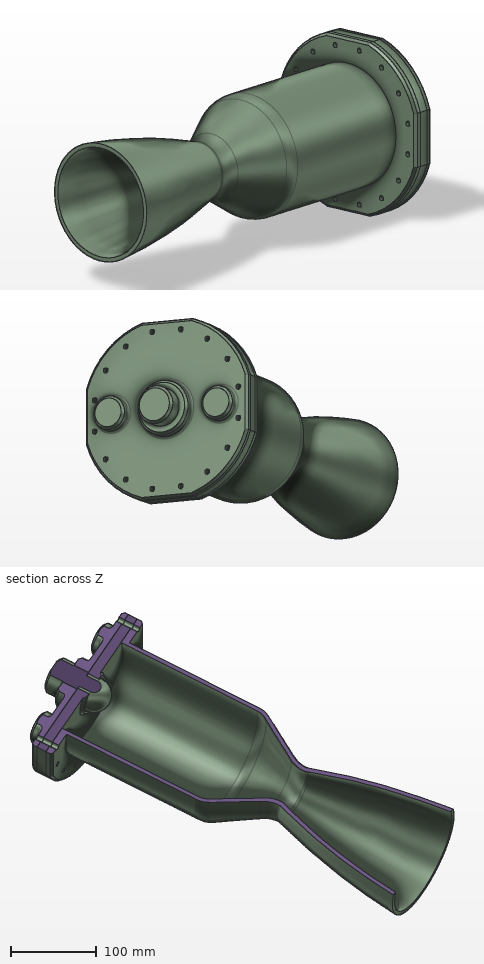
import cadquery as cq
import math

TOTAL_LENGTH = 499.0

PLATE_FLATS = 210.0
PLATE_DIAMETER = 220.0
COVER_THICKNESS = 8.0
INJECTOR_THICKNESS = 12.0
FLANGE_THICKNESS = 8.5
EDGE_CHAMFER = 3.0
BOLT_COUNT = 16
BOLT_CIRCLE_DIAMETER = 189.5
BOLT_HOLE_DIAMETER = 6.0

BOSS_HEIGHT = 12.0
BOSS_FILLET = 3.0
CENTER_BOSS_DIAMETER = 65.0
SIDE_BOSS_DIAMETER = 40.0
SIDE_BOSS_OFFSET = 70.0

STEM_HEAD_DIAMETER = 45.0
STEM_HEAD_STANDOUT = 20.0
STEM_TIP_DIAMETER = 41.0
OUTLET_DIAMETER = 43.5
OUTLET_BOSS_DIAMETER = 55.5
OUTLET_BOSS_HEIGHT = 3.0

WALL = 5.0
CHAMBER_RADIUS = 75.0
SHOULDER_ARC = 30.0
CONE_ANGLE = math.radians(30)
THROAT_RADIUS = 35.5
THROAT_Y = 176.5
THROAT_ENTRY_ARC = 41.0
THROAT_EXIT_ARC = 6.0
BELL_START_ANGLE = math.radians(17.4)
EXIT_RADIUS = 71.0
BELL_END_ANGLE = math.radians(5.2)

COVER_TOP = TOTAL_LENGTH - STEM_HEAD_STANDOUT - BOSS_HEIGHT
COVER_BOTTOM = COVER_TOP - COVER_THICKNESS
INJECTOR_BOTTOM = COVER_BOTTOM - INJECTOR_THICKNESS
FLANGE_BOTTOM = INJECTOR_BOTTOM - FLANGE_THICKNESS
OUTLET_FACE = INJECTOR_BOTTOM - OUTLET_BOSS_HEIGHT


def section_at(y):
    """Workplane across the axis at height y, with its normal along +Y."""
    return cq.Workplane(cq.Plane(origin=(0, y, 0), xDir=(1, 0, 0), normal=(0, 1, 0)))


def cylinder(diameter, bottom, top):
    return section_at(bottom).circle(diameter / 2).extrude(top - bottom)


def revolve_about_axis(profile):
    return profile.revolve(360, (0, 0, 0), (0, 1, 0))


def plate(bottom, top):
    """Round plate with four flats."""
    square = section_at(bottom).rect(PLATE_FLATS, PLATE_FLATS).extrude(top - bottom)
    return square.intersect(cylinder(PLATE_DIAMETER, bottom, top))


def drill_bolt_holes(body, bottom, top):
    first_angle = 180 / BOLT_COUNT
    holes = (
        section_at(bottom)
        .polarArray(BOLT_CIRCLE_DIAMETER / 2, first_angle, 360, BOLT_COUNT)
        .circle(BOLT_HOLE_DIAMETER / 2)
        .extrude(top - bottom)
    )
    return body.cut(holes)


def boss(diameter, x):
    """Boss on the cover plate with a chamfered rim and a concave fillet at its foot."""
    radius = diameter / 2
    top = COVER_TOP + BOSS_HEIGHT
    fillet_middle = BOSS_FILLET * (1 - math.sqrt(0.5))
    profile = (
        cq.Workplane("XY")
        .moveTo(0, top)
        .lineTo(radius - EDGE_CHAMFER, top)
        .lineTo(radius, top - EDGE_CHAMFER)
        .lineTo(radius, COVER_TOP + BOSS_FILLET)
        .threePointArc(
            (radius + fillet_middle, COVER_TOP + fillet_middle),
            (radius + BOSS_FILLET, COVER_TOP),
        )
        .lineTo(0, COVER_TOP)
        .close()
    )
    return revolve_about_axis(profile).translate((x, 0, 0))


def make_cover():
    cover = plate(COVER_BOTTOM, COVER_TOP).faces(">Y").chamfer(EDGE_CHAMFER)
    cover = cover.union(boss(CENTER_BOSS_DIAMETER, 0))
    for side in (-1, 1):
        cover = cover.union(boss(SIDE_BOSS_DIAMETER, side * SIDE_BOSS_OFFSET))
    cover = cover.cut(cylinder(STEM_HEAD_DIAMETER, COVER_BOTTOM, TOTAL_LENGTH))
    return drill_bolt_holes(cover, COVER_BOTTOM, COVER_TOP)


def make_injector():
    injector = plate(INJECTOR_BOTTOM, COVER_BOTTOM)
    outlet_boss = cylinder(OUTLET_BOSS_DIAMETER, OUTLET_FACE, COVER_BOTTOM)
    outlet_boss = outlet_boss.faces("<Y").chamfer(OUTLET_BOSS_HEIGHT)
    injector = injector.union(outlet_boss)
    injector = injector.cut(cylinder(OUTLET_DIAMETER, OUTLET_FACE, COVER_BOTTOM))
    return drill_bolt_holes(injector, INJECTOR_BOTTOM, COVER_BOTTOM)


def make_stem():
    """Stem with a chamfered head and a hemispherical tip."""
    head_radius = STEM_HEAD_DIAMETER / 2
    tip_radius = STEM_TIP_DIAMETER / 2
    mid_tip = tip_radius * math.sqrt(0.5)
    profile = (
        cq.Workplane("XY")
        .moveTo(0, TOTAL_LENGTH)
        .lineTo(head_radius - EDGE_CHAMFER, TOTAL_LENGTH)
        .lineTo(head_radius, TOTAL_LENGTH - EDGE_CHAMFER)
        .lineTo(head_radius, COVER_BOTTOM)
        .lineTo(tip_radius, COVER_BOTTOM)
        .lineTo(tip_radius, OUTLET_FACE)
        .threePointArc((mid_tip, OUTLET_FACE - mid_tip), (0, OUTLET_FACE - tip_radius))
        .close()
    )
    return revolve_about_axis(profile)


def shell_core(inset):
    """Solid of the chamber and nozzle, set in by `inset` from the outside surface."""
    chamber = CHAMBER_RADIUS - inset
    shoulder_arc = SHOULDER_ARC - inset
    throat = THROAT_RADIUS - inset
    entry_arc = THROAT_ENTRY_ARC + inset
    exit_arc = THROAT_EXIT_ARC + inset
    exit_radius = EXIT_RADIUS - inset / math.cos(BELL_END_ANGLE)

    def throat_point(arc, angle):
        """Point on a throat arc; negative angles lie on the nozzle side."""
        radius = throat + arc * (1 - math.cos(angle))
        return (radius, THROAT_Y + arc * math.sin(angle))

    cone_end = throat_point(entry_arc, CONE_ANGLE)
    bell_start = throat_point(exit_arc, -BELL_START_ANGLE)

    cone_start_radius = chamber - shoulder_arc * (1 - math.cos(CONE_ANGLE))
    cone_length = (cone_start_radius - cone_end[0]) / math.tan(CONE_ANGLE)
    cone_start = (cone_start_radius, cone_end[1] + cone_length)
    shoulder_y = cone_start[1] + shoulder_arc * math.sin(CONE_ANGLE)
    shoulder_middle = (
        chamber - shoulder_arc * (1 - math.cos(CONE_ANGLE / 2)),
        shoulder_y - shoulder_arc * math.sin(CONE_ANGLE / 2),
    )

    start_slope = math.tan(BELL_START_ANGLE)
    end_slope = math.tan(BELL_END_ANGLE)
    rise = exit_radius - bell_start[0] - end_slope * bell_start[1]
    run = rise / (start_slope - end_slope)
    bell_control = (bell_start[0] + start_slope * run, bell_start[1] - run)

    profile = (
        cq.Workplane("XY")
        .moveTo(0, INJECTOR_BOTTOM)
        .lineTo(chamber, INJECTOR_BOTTOM)
        .lineTo(chamber, shoulder_y)
        .threePointArc(shoulder_middle, cone_start)
        .lineTo(*cone_end)
        .threePointArc(throat_point(entry_arc, CONE_ANGLE / 2), (throat, THROAT_Y))
        .threePointArc(throat_point(exit_arc, -BELL_START_ANGLE / 2), bell_start)
        .bezier([bell_start, bell_control, (exit_radius, 0)])
        .lineTo(0, 0)
        .close()
    )
    return revolve_about_axis(profile)


def make_chamber():
    flange = plate(FLANGE_BOTTOM, INJECTOR_BOTTOM).faces("<Y").chamfer(EDGE_CHAMFER)
    flange = drill_bolt_holes(flange, FLANGE_BOTTOM, INJECTOR_BOTTOM)
    return flange.union(shell_core(0)).cut(shell_core(WALL))


cover = make_cover()
injector = make_injector()
stem = make_stem()
chamber = make_chamber()

result = cq.Compound.makeCompound([cover.val(), injector.val(), stem.val(), chamber.val()])